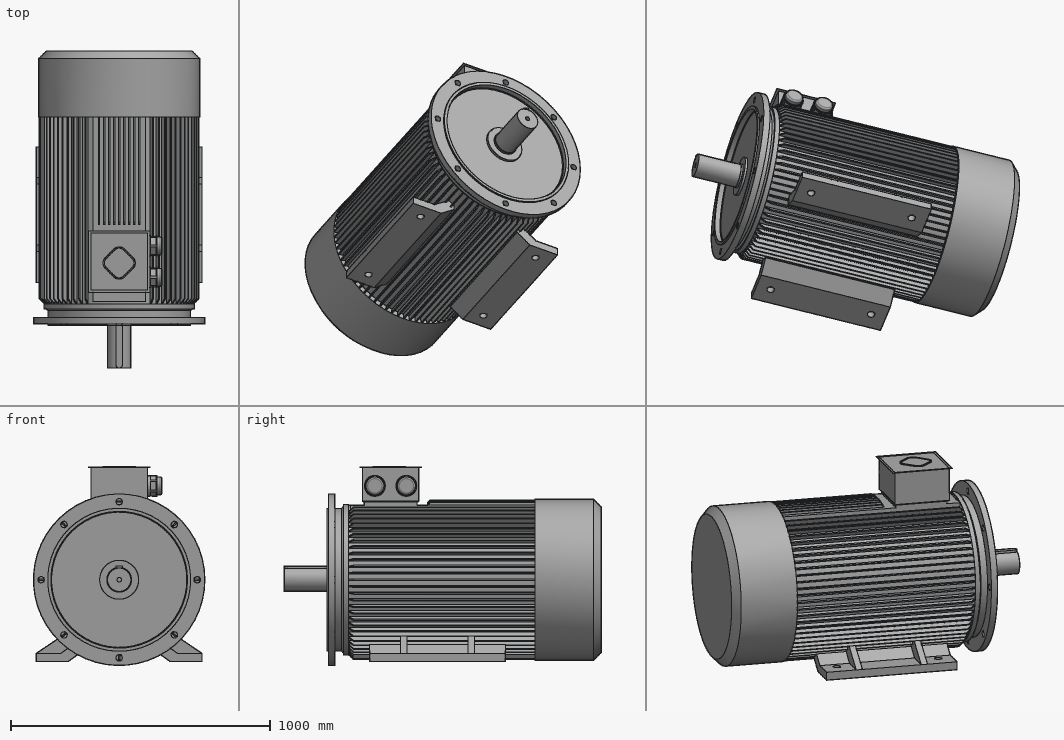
import cadquery as cq
import math


shaft_d = 90
shaft_length = 170
shaft_collar_d = 95
center_hole_d = 17.29
center_hole_depth = 40
key_width = 25
key_height = 14
key_top_z = 52.5
hub_d = 150
hub_face_y = 7.5

flange_d = 660
flange_thickness = 25
spigot_d = 550
spigot_height = 6
recess_d = 526
recess_floor_chamfer = 3
recess_floor_y = 17
flange_hole_d = 24
flange_hole_count = 8
flange_bolt_circle_d = 600

neck_d = 550
neck_end_y = 51
collar_d = 580
collar_start_y = 58
collar_end_y = 77

frame_d = 575
fin_height = 20
fin_thickness = 5
fin_pitch_angle = 5
fin_free_half_angle = 20
fin_tip_r = frame_d / 2 + fin_height

pad_half_width = 101.5
pad_start_y = 85
pad_z = frame_d / 2
pad_fin_count = 9
pad_fin_pitch = 19.3
pad_fin_start_y = 382
pad_fin_chamfer = 10

cover_d = 620
cover_start_y = 795
cover_end_y = 1050
cover_chamfer = 30

box_side = 218
box_center_y = 239.5
box_bottom_z = 299
box_bottom_chamfer = 4
lid_side = 237
lid_bottom_z = 432
lid_top_z = 433
badge_center_y = 234
badge_side = 105
badge_corner_r = 29
badge_top_z = 436
badge_rim_width = 5
badge_recess_depth = 1.5

gland_spacing = 121
gland_z = 361
gland_body_d = 80
gland_body_length = 36.5
gland_hex_flats = 73
gland_hex_start = 11
gland_hex_length = 22
gland_cap_d = 69.61
gland_cap_length = 18.5
gland_cap_fillet = 7

foot_half_width = 319
foot_base_z = -315
foot_plate_thickness = 32
foot_inner_x = 196
foot_web_x = 224
foot_web_angle = 36
gusset_angle = 34
foot_center_y = 420
foot_length = 522
foot_hole_d = 28
foot_hole_half_span = 254
foot_hole_first_y = 216
foot_hole_spacing = 406
gusset_thickness = 25
gusset_spacing = 260
foot_anchor_x = 140


def disc(diameter, start_y, end_y):
    """Cylinder around the shaft axis between two Y positions."""
    sketch = cq.Workplane("XZ", origin=(0, start_y, 0)).circle(diameter / 2)
    return sketch.extrude(start_y - end_y)


def block(half_width, start_y, end_y, low_z, high_z):
    """Box centred on X = 0."""
    size = (2 * half_width, end_y - start_y, high_z - low_z)
    return cq.Workplane("XY").box(*size, centered=(True, False, False)).translate((0, start_y, low_z))


def cone(near_d, far_d, start_y, end_y):
    """Conical disc around the shaft axis."""
    profile = [(0, start_y), (near_d / 2, start_y), (far_d / 2, end_y), (0, end_y)]
    return cq.Workplane("XY").polyline(profile).close().revolve(360, (0, 0, 0), (0, 1, 0))


def make_end_shield():
    shield = disc(flange_d, 0, flange_thickness)
    shield = shield.union(disc(spigot_d, -spigot_height, 0))
    shield = shield.union(disc(neck_d, flange_thickness, neck_end_y))
    collar_cone_d = neck_d + 2 * (collar_start_y - neck_end_y)
    shield = shield.union(cone(neck_d, collar_cone_d, neck_end_y, collar_start_y))
    shield = shield.union(disc(collar_d, collar_start_y, collar_end_y))
    recess = disc(recess_d, -spigot_height, recess_floor_y).faces(">Y").chamfer(recess_floor_chamfer)
    shield = shield.cut(recess)
    bolt_holes = (
        cq.Workplane("XZ")
        .polarArray(flange_bolt_circle_d / 2, 0, 360, flange_hole_count)
        .circle(flange_hole_d / 2)
        .extrude(-flange_thickness)
    )
    return shield.cut(bolt_holes)


def make_shaft():
    shaft = disc(shaft_d, -shaft_length, 0)
    shaft = shaft.union(disc(shaft_collar_d, 0, recess_floor_y))
    key = (
        cq.Workplane("XY", origin=(0, -shaft_length / 2, key_top_z - key_height))
        .slot2D(shaft_length, key_width, 90)
        .extrude(key_height)
    )
    hub = disc(hub_d, hub_face_y, recess_floor_y)
    center_hole = disc(center_hole_d, -shaft_length, center_hole_depth - shaft_length)
    return shaft.union(key).union(hub).cut(center_hole)


def make_radial_fins():
    """Radial fins all round, leaving the top free for the pad."""
    root_r = frame_d / 2 - fin_height
    profile = [
        (root_r, collar_end_y),
        (fin_tip_r - fin_height, collar_end_y),
        (fin_tip_r, collar_end_y + fin_height),
        (fin_tip_r, cover_start_y),
        (root_r, cover_start_y),
    ]
    fin = cq.Workplane("XY").polyline(profile).close().extrude(fin_thickness / 2, both=True)
    fins = []
    for step in range(round(360 / fin_pitch_angle)):
        angle = step * fin_pitch_angle
        if abs(angle - 90) > fin_free_half_angle:
            fins.append(fin.rotate((0, 0, 0), (0, 1, 0), -angle).val())
    return cq.Workplane(cq.Compound.makeCompound(fins))


def make_pad_fins():
    """Upright fins on the pad, with tips on the same circle as the radial fins and sloped front ends."""
    fin = block(fin_thickness / 2, pad_fin_start_y, cover_start_y, pad_z - fin_height, fin_tip_r)
    envelope = disc(2 * fin_tip_r, pad_fin_start_y, cover_start_y).faces("<Y").chamfer(pad_fin_chamfer)
    fins = []
    for index in range(pad_fin_count):
        offset = (index - (pad_fin_count - 1) / 2) * pad_fin_pitch
        fins.append(fin.translate((offset, 0, 0)).intersect(envelope).val())
    return cq.Workplane(cq.Compound.makeCompound(fins))


def make_frame():
    frame = disc(frame_d, collar_end_y, cover_start_y)
    frame = frame.union(block(pad_half_width, pad_start_y, cover_start_y, 0, pad_z))
    return frame.union(make_radial_fins()).union(make_pad_fins())


def make_cover():
    return disc(cover_d, cover_start_y, cover_end_y).faces(">Y").chamfer(cover_chamfer)


def make_gland():
    """Cable gland along +X, starting at the origin: round body with six flats, then a cap."""
    body = cq.Workplane("YZ").circle(gland_body_d / 2).extrude(gland_body_length)
    hex_plane = cq.Workplane("YZ", origin=(gland_hex_start, 0, 0))
    oversize_disc = hex_plane.circle(gland_body_d).extrude(gland_hex_length)
    hexagon = hex_plane.polygon(6, gland_hex_flats, circumscribed=True).extrude(gland_hex_length)
    body = body.cut(oversize_disc.cut(hexagon))
    cap = (
        cq.Workplane("YZ", origin=(gland_body_length, 0, 0))
        .circle(gland_cap_d / 2)
        .extrude(gland_cap_length)
        .faces(">X")
        .fillet(gland_cap_fillet)
    )
    return body.union(cap)


def make_badge():
    """Diamond-shaped badge with a raised rim."""
    height = badge_top_z - lid_top_z
    badge = cq.Workplane("XY").rect(badge_side, badge_side).extrude(height)
    badge = badge.edges("|Z").fillet(badge_corner_r)
    inner_side = badge_side - 2 * badge_rim_width
    recess = cq.Workplane("XY", origin=(0, 0, height - badge_recess_depth))
    recess = recess.rect(inner_side, inner_side).extrude(badge_recess_depth)
    recess = recess.edges("|Z").fillet(badge_corner_r - badge_rim_width)
    badge = badge.cut(recess).rotate((0, 0, 0), (0, 0, 1), 45)
    return badge.translate((0, badge_center_y, lid_top_z))


def make_terminal_box():
    def square_block(side, low_z, high_z):
        half = side / 2
        return block(half, box_center_y - half, box_center_y + half, low_z, high_z)

    box = square_block(box_side, box_bottom_z, lid_bottom_z).faces("<Z").chamfer(box_bottom_chamfer)
    box = box.union(square_block(2 * pad_half_width, pad_z, box_bottom_z))
    box = box.union(square_block(lid_side, lid_bottom_z, lid_top_z))
    gland = make_gland()
    for side in (-1, 1):
        gland_y = box_center_y + side * gland_spacing / 2
        box = box.union(gland.translate((box_side / 2, gland_y, gland_z)))
    return box.union(make_badge())


def make_foot():
    """Foot on the +X side: base plate, sloped web up to the frame, two gussets and bolt holes."""
    plate_top_z = foot_base_z + foot_plate_thickness
    web_slope = math.tan(math.radians(foot_web_angle))
    gusset_slope = math.tan(math.radians(gusset_angle))
    plate_profile = [
        (foot_half_width, foot_base_z),
        (foot_inner_x, foot_base_z),
        (foot_anchor_x, foot_base_z + (foot_inner_x - foot_anchor_x) * web_slope),
        (foot_anchor_x, plate_top_z + (foot_web_x - foot_anchor_x) * web_slope),
        (foot_web_x, plate_top_z),
        (foot_half_width, plate_top_z),
    ]
    gusset_profile = [
        (foot_half_width, plate_top_z),
        (foot_web_x, plate_top_z),
        (foot_anchor_x, plate_top_z + (foot_web_x - foot_anchor_x) * web_slope),
        (foot_anchor_x, plate_top_z + (foot_half_width - foot_anchor_x) * gusset_slope),
    ]

    def slab(profile, center_y, thickness):
        plane = cq.Workplane("XZ", origin=(0, center_y, 0))
        return plane.polyline(profile).close().extrude(thickness / 2, both=True)

    foot = slab(plate_profile, foot_center_y, foot_length)
    for side in (-1, 1):
        gusset_y = foot_center_y + side * gusset_spacing / 2
        foot = foot.union(slab(gusset_profile, gusset_y, gusset_thickness))
    for hole_y in (foot_hole_first_y, foot_hole_first_y + foot_hole_spacing):
        hole = cq.Workplane("XY", origin=(foot_hole_half_span, hole_y, foot_base_z))
        foot = foot.cut(hole.circle(foot_hole_d / 2).extrude(foot_plate_thickness))
    return foot


right_foot = make_foot()
left_foot = right_foot.mirror("YZ")

result = (
    make_frame()
    .union(make_end_shield())
    .union(make_shaft())
    .union(make_cover())
    .union(make_terminal_box())
    .union(right_foot)
    .union(left_foot)
)